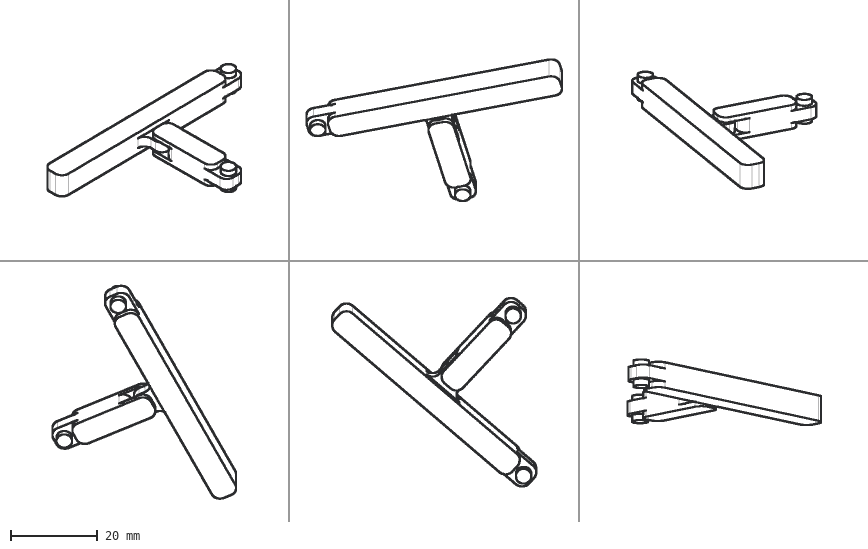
import cadquery as cq

bar_length = 60.0
member_width = 6.0
thickness = 6.0
corner_radius = 2.1

end_step = 5.1
end_tab_thickness = 3.05
end_pin_diameter = 3.6
end_pin_inset = 2.4

link_start = 7.55
link_end = 32.6
tongue_tip = 11.7
tongue_thickness = 2.75
slot_height = 3.5
slot_floor = 12.6
hinge_pin_diameter = 3.0
hinge_pin_x = 9.25


def rounded_plate(x_min, x_max, y_min, y_max, height):
    """Plate centred on Z = 0 with rounded vertical edges."""
    return (
        cq.Workplane("XY")
        .box(x_max - x_min, y_max - y_min, height)
        .translate(((x_min + x_max) / 2, (y_min + y_max) / 2, 0))
        .edges("|Z")
        .fillet(corner_radius)
    )


def upright_pin(x, y, diameter, height):
    """Vertical pin centred on Z = 0."""
    return cq.Workplane("XY").center(x, y).circle(diameter / 2).extrude(height / 2, both=True)


def make_tongue():
    """Tongue rooted in the bar, flared where it meets the bar's side."""
    half_width = member_width / 2
    flare_start = half_width + corner_radius
    straight_start = member_width + corner_radius
    straight_end = tongue_tip - corner_radius
    tip_half_width = half_width - corner_radius
    root_x = member_width / 2
    return (
        cq.Workplane("XY")
        .moveTo(root_x, -flare_start)
        .lineTo(member_width, -flare_start)
        .radiusArc((straight_start, -half_width), corner_radius)
        .lineTo(straight_end, -half_width)
        .radiusArc((tongue_tip, -tip_half_width), -corner_radius)
        .lineTo(tongue_tip, tip_half_width)
        .radiusArc((straight_end, half_width), -corner_radius)
        .lineTo(straight_start, half_width)
        .radiusArc((member_width, flare_start), corner_radius)
        .lineTo(root_x, flare_start)
        .close()
        .extrude(tongue_thickness / 2, both=True)
    )


def make_bar():
    """Long bar with a pinned free end and a bored hinge tongue."""
    y_min = -bar_length / 2
    y_max = bar_length / 2
    body = rounded_plate(0, member_width, y_min, y_max - end_step, thickness)
    end_tab = rounded_plate(0, member_width, y_min, y_max, end_tab_thickness)
    end_pin = upright_pin(member_width / 2, y_max - end_pin_inset, end_pin_diameter, thickness)
    hinge_hole = upright_pin(hinge_pin_x, 0, hinge_pin_diameter, thickness)
    return body.union(end_tab).union(end_pin).union(make_tongue()).cut(hinge_hole)


def make_link():
    """Forked link with a hinge pin across the fork and a pinned free end."""
    y_min = -member_width / 2
    y_max = member_width / 2
    body = rounded_plate(link_start, link_end - end_step, y_min, y_max, thickness)
    slot = (
        cq.Workplane("XY")
        .box(link_end - link_start, member_width, slot_height)
        .translate(((link_start + link_end) / 2, 0, 0))
    )
    core = rounded_plate(slot_floor, link_end - end_step, y_min, y_max, slot_height)
    end_tab = rounded_plate(slot_floor, link_end, y_min, y_max, end_tab_thickness)
    end_pin = upright_pin(link_end - end_pin_inset, 0, end_pin_diameter, thickness)
    hinge_pin = upright_pin(hinge_pin_x, 0, hinge_pin_diameter, slot_height)
    return body.cut(slot).union(core).union(end_tab).union(end_pin).union(hinge_pin)


bar = make_bar()
link = make_link()

result = cq.Compound.makeCompound([bar.val(), link.val()])